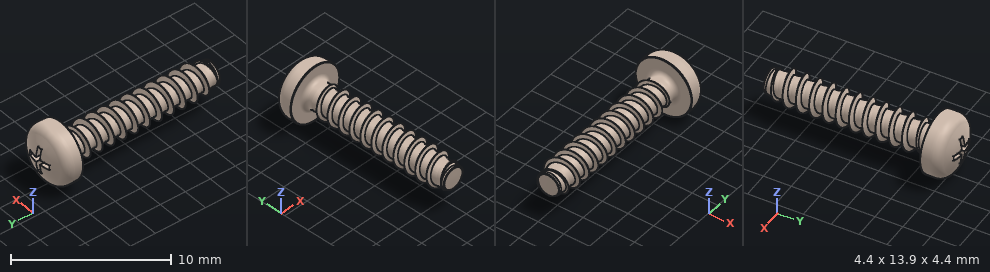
import cadquery as cq
import math


overall_length = 13.88

head_diameter = 4.4
head_radius = head_diameter / 2
rim_height = 0.7
rim_chamfer = 0.04
shoulder_radius = 1.67
shoulder_height = 1.45
shoulder_bulge = 0.79
dome_height = 1.89
dome_rise = dome_height - shoulder_height
dome_radius = (shoulder_radius**2 + dome_rise**2) / (2 * dome_rise)

recess_width = 0.37
recess_length = 1.95
recess_depth = 0.83

neck_radius = 0.99
neck_fillet = 0.39
neck_end = 0.62
core_start = 1.04
core_radius = 0.87
tip_radius = 0.8
tip_chamfer_length = 0.21
tip_cone_height = 0.03

ten_turn_length = 9.51
pitch = ten_turn_length / 10
crest_radius = 1.25
crest_half_width = 0.01
head_flank_base = -0.17
tip_flank_base = 0.118
tip_flank_radius = 0.96
skirt_end = 0.55
root_overlap = 0.021
first_crest_depth = 0.85
first_turn = -0.7
last_turn = 11.6
fade_turns = 1.2
fade_minimum = 0.15
points_per_turn = 16


def dome_surface(radius):
    """Height of the dome above the seat at a distance from the axis."""
    return dome_height - dome_radius + math.sqrt(dome_radius**2 - radius**2)


head_top = dome_surface(recess_width / math.sqrt(2))
tip_end = overall_length - head_top - tip_cone_height


def make_head():
    """Pan head: chamfered rim, rounded shoulder and shallow dome."""
    shoulder_rise = shoulder_height - rim_height
    arc_center = head_radius - shoulder_bulge
    end_angle = math.atan2(shoulder_rise, shoulder_radius - arc_center)
    shoulder_mid = (
        arc_center + shoulder_bulge * math.cos(end_angle / 2),
        rim_height + shoulder_bulge * math.sin(end_angle / 2),
    )
    mid_radius = shoulder_radius / 2
    return (
        cq.Workplane("XY")
        .lineTo(head_radius - rim_chamfer, 0)
        .lineTo(head_radius, rim_chamfer)
        .lineTo(head_radius, rim_height)
        .threePointArc(shoulder_mid, (shoulder_radius, shoulder_height))
        .threePointArc((mid_radius, dome_surface(mid_radius)), (0, dome_height))
        .close()
        .revolve(360, (0, 0, 0), (0, 1, 0))
    )


def make_recess():
    """Two crossing slots sunk into the dome."""
    slot = cq.Workplane("XY").box(recess_length, 2 * recess_depth, recess_width)
    cross = slot.union(slot.rotate((0, 0, 0), (0, 1, 0), 90))
    return cross.translate((0, dome_height, 0))


def make_shank():
    """Filleted neck, tapering to the core, with a chamfered tip."""
    fillet_offset = neck_fillet * (1 - math.sqrt(0.5))
    return (
        cq.Workplane("XY")
        .lineTo(neck_radius + neck_fillet, 0)
        .threePointArc(
            (neck_radius + fillet_offset, -fillet_offset),
            (neck_radius, -neck_fillet),
        )
        .lineTo(neck_radius, -neck_end)
        .lineTo(core_radius, -core_start)
        .lineTo(core_radius, tip_chamfer_length - tip_end)
        .lineTo(tip_radius, -tip_end)
        .lineTo(0, -tip_end - tip_cone_height)
        .close()
        .revolve(360, (0, 0, 0), (0, 1, 0))
    )


def fade(turn):
    """Thread height fraction: grows and shrinks linearly over the run-outs."""
    nearest_end = min(turn - first_turn, last_turn - turn)
    return max(fade_minimum, min(1.0, nearest_end / fade_turns))


def thread_section(turn):
    """Corners of the thread section as (axial position, radius)."""
    size = fade(turn)
    head_slope = (crest_radius - core_radius) / (-crest_half_width - head_flank_base)
    skirt_slope = (tip_flank_radius - core_radius) / (skirt_end - tip_flank_base)
    root_radius = core_radius - root_overlap
    ridge = [
        (head_flank_base - root_overlap / head_slope, root_radius),
        (-crest_half_width, crest_radius),
        (crest_half_width, crest_radius),
        (tip_flank_base, tip_flank_radius),
    ]
    corners = [(size * axial, radius) for axial, radius in ridge]
    corners.append((skirt_end + root_overlap / skirt_slope, root_radius))
    return [(axial, core_radius + size * (radius - core_radius)) for axial, radius in corners]


def make_thread_run(start_turn, end_turn):
    """Stretch of right-hand thread bounded by ruled faces between helical edges."""
    steps = round((end_turn - start_turn) * points_per_turn)
    tracks = [[] for _ in thread_section(start_turn)]
    for step in range(steps + 1):
        turn = start_turn + (end_turn - start_turn) * step / steps
        angle = 2 * math.pi * turn
        crest_y = -first_crest_depth - pitch * turn
        for track, (axial, radius) in zip(tracks, thread_section(turn)):
            point = cq.Vector(radius * math.cos(angle), crest_y - axial, radius * math.sin(angle))
            track.append(point)
    edges = [cq.Edge.makeSpline(track) for track in tracks]
    following = edges[1:] + edges[:1]
    faces = [cq.Face.makeRuledSurface(edge, neighbor) for edge, neighbor in zip(edges, following)]
    for end in (0, -1):
        outline = cq.Wire.makePolygon([track[end] for track in tracks], close=True)
        faces.append(cq.Face.makeFromWires(outline))
    return cq.Workplane(cq.Solid.makeSolid(cq.Shell.makeShell(faces)))


tip_trim = cq.Workplane("XZ").workplane(offset=tip_end).circle(head_radius).extrude(2 * pitch)

run_limits = [first_turn, first_turn + fade_turns, last_turn - fade_turns, last_turn]
result = make_shank()
for start_turn, end_turn in zip(run_limits, run_limits[1:]):
    result = result.union(make_thread_run(start_turn, end_turn).cut(tip_trim))
result = result.union(make_head().cut(make_recess()))